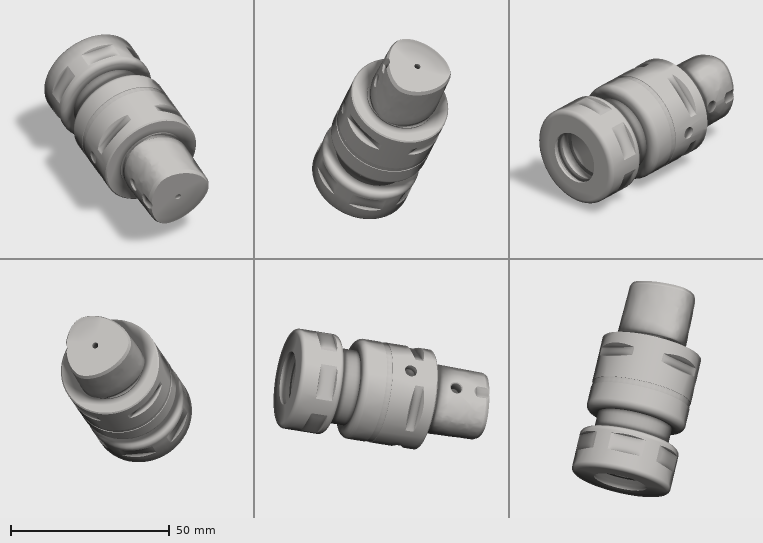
import cadquery as cq
import math


TOTAL_LENGTH = 64
NUT_END = 14.0
BODY_START = 20.5
BODY_END = 44.9
SHANK_START = 46.8

OUTER_RADIUS = 16
NECK_RADIUS = 24.0 / 2
NUT_FRONT_ROUND = 1.4
NUT_REAR_ROUND = 1.6
BODY_FRONT_ROUND = 2.0
BODY_REAR_CHAMFER = 0.4
GROOVE_RADIUS = 31.6 / 2
GROOVE_START = 28.0
GROOVE_END = 29.9

NUT_FLAT_COUNT = 6
NUT_FLAT_FIRST_ANGLE = 0
NUT_FLAT_SIZE = 30.0
NUT_FLAT_START = 6.2
NUT_FLAT_LENGTH = 5.25
NUT_FLAT_WALL_ANGLE = 20

BODY_FLAT_COUNT = 4
BODY_FLAT_FIRST_ANGLE = 45
BODY_FLAT_SIZE = 28.3
BODY_FLAT_START = 37.6
BODY_FLAT_LENGTH = 2.55
BODY_FLAT_WALL_ANGLE = 29

MOUTH_RADIUS = 17.0 / 2
MOUTH_LIP = 0.8
NUT_CONE_END = 2.25
NUT_GROOVE_RADIUS = 21.75 / 2
NUT_GROOVE_START = 2.55
NUT_GROOVE_END = 4.0
NUT_RIB_END = 5.05
NUT_RIB_RADIUS = 17.8 / 2
NUT_CONE_RADIUS = 18.7 / 2
NUT_RECESS_FRONT_RADIUS = 18.2 / 2
NUT_RECESS_RADIUS = 21.1 / 2
COLLET_SEAT_START = 8.45
COLLET_SEAT_ANGLE = 8
COLLET_SEAT_FRONT_RADIUS = 18.2 / 2
COLLET_SEAT_REAR_RADIUS = 13.7 / 2
BORE_RADIUS = 13.0 / 2
BORE_END = 32
FLOOR_CONE_RADIUS = 9.1 / 2
FLOOR_CONE_ANGLE = 60
COOLANT_RADIUS = 2.0 / 2

LOBE_HEIGHT = 0.7
LOBE_COUNT = 3
SHANK_WIDTH = 22.15
SHANK_TAPER = 1 / 20
SHANK_END_CHAMFER_LENGTH = 1.2
SHANK_END_CHAMFER = 0.6
PROFILE_POINTS = 48

RELIEF_COLLAR_RADIUS = 10.95
RELIEF_COLLAR_END = 45.3
RELIEF_ROOT_RADIUS = 10.7
RELIEF_ROOT_START = 45.5
RELIEF_ROOT_END = 45.9
RELIEF_WIDTH = 21.6
RELIEF_RAMP_START = 46.45

BODY_HOLE_X = 35.9
BODY_HOLE_RADIUS = 4.0 / 2
BODY_HOLE_DEPTH = 2.55
DRILL_TIP_ANGLE = 59
SHANK_HOLE_X = 52.85
SHANK_HOLE_RADIUS = 3.6 / 2
SHANK_HOLE_CHAMFER = 0.4
SHANK_HOLE_DEPTH = 3.85
SLOT_START = 59.8
SLOT_RADIUS = 2.7
SLOT_DEPTH = 0.95


def revolved(outline):
    """Turn an outline drawn in X and radius about the X axis."""
    return outline.close().revolve(360, (0, 0, 0), (1, 0, 0))


def lobed_wire(x, width):
    """Constant-width three-lobed wire at x, one lobe towards +Y, seam at -Y."""

    def point(index):
        turn = 2 * math.pi * index / PROFILE_POINTS + math.pi
        lobe = LOBE_COUNT * turn
        reach = width / 2 + LOBE_HEIGHT * math.cos(lobe)
        swing = -LOBE_COUNT * LOBE_HEIGHT * math.sin(lobe)
        y = reach * math.cos(turn) - swing * math.sin(turn)
        z = reach * math.sin(turn) + swing * math.cos(turn)
        return cq.Vector(x, y, z)

    edge = cq.Edge.makeSpline([point(i) for i in range(PROFILE_POINTS)], periodic=True)
    return cq.Wire.assembleEdges([edge])


def lobed_section(start, start_width, end, end_width):
    wires = [lobed_wire(start, start_width), lobed_wire(end, end_width)]
    return cq.Workplane(cq.Solid.makeLoft(wires, True))


def nut_neck_and_body():
    diagonal = math.sqrt(0.5)

    def corner_middle(corner_x, radius, side):
        """Middle of a quarter round; side is 1 for a front corner and -1 for a rear one."""
        inset = radius * (1 - diagonal)
        return (corner_x + side * inset, OUTER_RADIUS - inset)

    outline = (
        cq.Workplane("XY")
        .lineTo(0, OUTER_RADIUS - NUT_FRONT_ROUND)
        .threePointArc(corner_middle(0, NUT_FRONT_ROUND, 1), (NUT_FRONT_ROUND, OUTER_RADIUS))
        .lineTo(NUT_END - NUT_REAR_ROUND, OUTER_RADIUS)
        .threePointArc(
            corner_middle(NUT_END, NUT_REAR_ROUND, -1), (NUT_END, OUTER_RADIUS - NUT_REAR_ROUND)
        )
        .lineTo(NUT_END, NECK_RADIUS)
        .lineTo(BODY_START, NECK_RADIUS)
        .lineTo(BODY_START, OUTER_RADIUS - BODY_FRONT_ROUND)
        .threePointArc(
            corner_middle(BODY_START, BODY_FRONT_ROUND, 1),
            (BODY_START + BODY_FRONT_ROUND, OUTER_RADIUS),
        )
        .lineTo(GROOVE_START, OUTER_RADIUS)
        .lineTo(GROOVE_START, GROOVE_RADIUS)
        .lineTo(GROOVE_END, GROOVE_RADIUS)
        .lineTo(GROOVE_END, OUTER_RADIUS)
        .lineTo(BODY_END - BODY_REAR_CHAMFER, OUTER_RADIUS)
        .lineTo(BODY_END, OUTER_RADIUS - BODY_REAR_CHAMFER)
        .lineTo(BODY_END, 0)
    )
    return revolved(outline)


def relief():
    """Undercut behind the body: a turned groove that also trims the lobed section."""
    cone_end_radius = SHANK_WIDTH / 2 + LOBE_HEIGHT
    turned = revolved(
        cq.Workplane("XY")
        .moveTo(RELIEF_COLLAR_END, 0)
        .lineTo(RELIEF_COLLAR_END, RELIEF_COLLAR_RADIUS)
        .lineTo(RELIEF_ROOT_START, RELIEF_ROOT_RADIUS)
        .lineTo(RELIEF_ROOT_END, RELIEF_ROOT_RADIUS)
        .lineTo(SHANK_START, cone_end_radius)
        .lineTo(SHANK_START, 0)
    )
    straight = lobed_section(RELIEF_COLLAR_END, RELIEF_WIDTH, RELIEF_RAMP_START, RELIEF_WIDTH)
    ramp = lobed_section(RELIEF_RAMP_START, RELIEF_WIDTH, SHANK_START, SHANK_WIDTH)
    collar = (
        cq.Workplane("YZ", origin=(BODY_END, 0, 0))
        .circle(RELIEF_COLLAR_RADIUS)
        .extrude(RELIEF_COLLAR_END - BODY_END)
    )
    return collar.union(straight.union(ramp).intersect(turned))


def shank():
    chamfer_start = TOTAL_LENGTH - SHANK_END_CHAMFER_LENGTH
    rear_width = SHANK_WIDTH - SHANK_TAPER * (chamfer_start - SHANK_START)
    taper = lobed_section(SHANK_START, SHANK_WIDTH, chamfer_start, rear_width)
    tip_width = rear_width - 2 * SHANK_END_CHAMFER
    tip = lobed_section(chamfer_start, rear_width, TOTAL_LENGTH, tip_width)
    return taper.union(tip)


def flat_cutters(count, start_angle, size, start, length, wall_angle):
    """Straight cuts around X whose end walls lean outwards; size is the distance across flats."""
    depth = OUTER_RADIUS
    flare = depth * math.tan(math.radians(wall_angle))
    floor = size / 2
    cutter = (
        cq.Workplane("XZ", origin=(0, OUTER_RADIUS, 0))
        .moveTo(start, floor)
        .lineTo(start + length, floor)
        .lineTo(start + length + flare, floor + depth)
        .lineTo(start - flare, floor + depth)
        .close()
        .extrude(2 * OUTER_RADIUS)
    )
    cutters = cq.Workplane("XY")
    for i in range(count):
        cutters = cutters.add(cutter.rotate((0, 0, 0), (1, 0, 0), start_angle + i * 360 / count))
    return cutters.combine()


def collet_bore():
    seat_drop = COLLET_SEAT_FRONT_RADIUS - COLLET_SEAT_REAR_RADIUS
    seat_end = COLLET_SEAT_START + seat_drop / math.tan(math.radians(COLLET_SEAT_ANGLE))
    cone_length = (FLOOR_CONE_RADIUS - COOLANT_RADIUS) / math.tan(math.radians(FLOOR_CONE_ANGLE))
    return revolved(
        cq.Workplane("XY")
        .lineTo(0, MOUTH_RADIUS)
        .lineTo(MOUTH_LIP, MOUTH_RADIUS)
        .lineTo(NUT_CONE_END, NUT_CONE_RADIUS)
        .lineTo(NUT_GROOVE_START, NUT_GROOVE_RADIUS)
        .lineTo(NUT_GROOVE_END, NUT_GROOVE_RADIUS)
        .lineTo(NUT_GROOVE_END, NUT_RIB_RADIUS)
        .lineTo(NUT_RIB_END, NUT_RECESS_FRONT_RADIUS)
        .lineTo(COLLET_SEAT_START, NUT_RECESS_RADIUS)
        .lineTo(COLLET_SEAT_START, COLLET_SEAT_FRONT_RADIUS)
        .lineTo(seat_end, COLLET_SEAT_REAR_RADIUS)
        .lineTo(seat_end, BORE_RADIUS)
        .lineTo(BORE_END, BORE_RADIUS)
        .lineTo(BORE_END, FLOOR_CONE_RADIUS)
        .lineTo(BORE_END + cone_length, COOLANT_RADIUS)
        .lineTo(TOTAL_LENGTH, COOLANT_RADIUS)
        .lineTo(TOTAL_LENGTH, 0)
    )


def body_hole():
    """Blind drilled hole with a pointed floor."""
    tip = BODY_HOLE_RADIUS / math.tan(math.radians(DRILL_TIP_ANGLE))
    floor = -OUTER_RADIUS + BODY_HOLE_DEPTH
    outline = (
        cq.Workplane("XY", origin=(BODY_HOLE_X, 0, 0))
        .moveTo(0, -OUTER_RADIUS)
        .lineTo(BODY_HOLE_RADIUS, -OUTER_RADIUS)
        .lineTo(BODY_HOLE_RADIUS, floor)
        .lineTo(0, floor + tip)
        .close()
    )
    return outline.revolve(360, (0, 0, 0), (0, 1, 0))


def shank_side(x):
    """Distance from the axis to the -Y side of the shank at x."""
    return (SHANK_WIDTH - SHANK_TAPER * (x - SHANK_START)) / 2 - LOBE_HEIGHT


def shank_hole():
    """Flat-bottomed hole; its countersink continues past the rim to clear the curved side."""
    rim = -shank_side(SHANK_HOLE_X)
    outline = (
        cq.Workplane("XY", origin=(SHANK_HOLE_X, 0, 0))
        .moveTo(0, rim - SHANK_HOLE_CHAMFER)
        .lineTo(SHANK_HOLE_RADIUS + 2 * SHANK_HOLE_CHAMFER, rim - SHANK_HOLE_CHAMFER)
        .lineTo(SHANK_HOLE_RADIUS, rim + SHANK_HOLE_CHAMFER)
        .lineTo(SHANK_HOLE_RADIUS, rim + SHANK_HOLE_DEPTH)
        .lineTo(0, rim + SHANK_HOLE_DEPTH)
        .close()
    )
    return outline.revolve(360, (0, 0, 0), (0, 1, 0))


def shank_slot():
    """Shallow round-bottomed slot open at the shank end, with a 45 degree cone at its blind end."""
    axis_y = -shank_side(SLOT_START) + SLOT_DEPTH - SLOT_RADIUS
    outline = (
        cq.Workplane("XY", origin=(0, axis_y, 0))
        .moveTo(SLOT_START, 0)
        .lineTo(SLOT_START - SLOT_RADIUS, 0)
        .lineTo(SLOT_START, SLOT_RADIUS)
        .lineTo(TOTAL_LENGTH, SLOT_RADIUS)
        .lineTo(TOTAL_LENGTH, 0)
    )
    return revolved(outline)


nut_flats = flat_cutters(
    NUT_FLAT_COUNT,
    NUT_FLAT_FIRST_ANGLE,
    NUT_FLAT_SIZE,
    NUT_FLAT_START,
    NUT_FLAT_LENGTH,
    NUT_FLAT_WALL_ANGLE,
)
body_flats = flat_cutters(
    BODY_FLAT_COUNT,
    BODY_FLAT_FIRST_ANGLE,
    BODY_FLAT_SIZE,
    BODY_FLAT_START,
    BODY_FLAT_LENGTH,
    BODY_FLAT_WALL_ANGLE,
)

result = nut_neck_and_body().cut(nut_flats).cut(body_flats)
result = result.union(relief()).union(shank())
result = result.cut(collet_bore()).cut(body_hole()).cut(shank_hole()).cut(shank_slot())